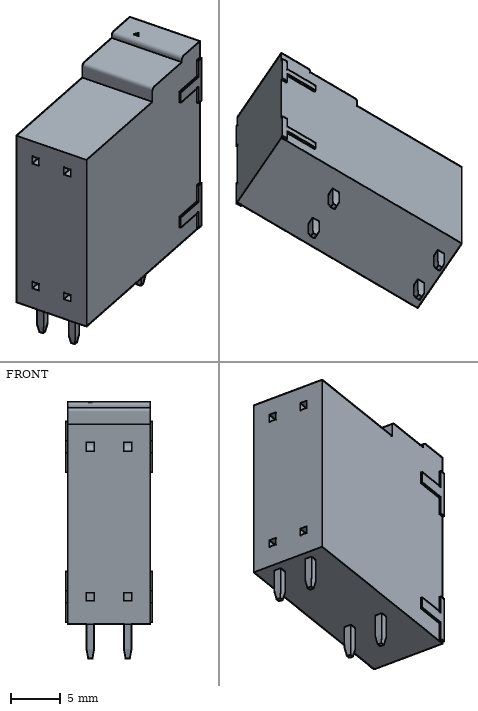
import cadquery as cq

TOTAL_WIDTH = 8.85
DEPTH = 21.8
TOTAL_HEIGHT = 26.2
PIN_LENGTH = 3.5
BODY_HEIGHT = TOTAL_HEIGHT - PIN_LENGTH
FRONT_Y = -DEPTH

RIDGE_DEPTH = 3.5
RIDGE_STEP = 0.62
RIDGE_FILLET = 0.42
SHELF_DEPTH = 9.15
SHELF_HEIGHT = BODY_HEIGHT - RIDGE_STEP
SHELF_FILLET = 0.4
MAIN_HEIGHT = 20.4

RAIL_THICKNESS = 0.2
BODY_WIDTH = TOTAL_WIDTH - 2 * RAIL_THICKNESS
RAIL_HEAD_HEIGHT = 5.2
RAIL_HEAD_DEPTH = 0.6
RAIL_STEM_HEIGHT = 1.25
RAIL_DEPTH = 4.0

COLUMN_PITCH = 3.81
COLUMNS = (-COLUMN_PITCH / 2, COLUMN_PITCH / 2)
ROW_PITCH = 15.3
LOWER_ROW_Z = 2.8
UPPER_ROW_Z = LOWER_ROW_Z + ROW_PITCH

PIN_SIZE = 0.8
PIN_TIP_SIZE = 0.45
PIN_TIP_LENGTH = 0.95
PIN_ROW_PITCH = 12.7
FRONT_PIN_SETBACK = 1.3
FRONT_PIN_Y = FRONT_Y + FRONT_PIN_SETBACK
BACK_PIN_Y = FRONT_PIN_Y + PIN_ROW_PITCH

SOCKET_WIDTH = 0.8
LOWER_SOCKET_HEIGHT = 0.8
UPPER_SOCKET_HEIGHT = 0.88
UPPER_SOCKET_FILLET = 0.78

MARKER_X = -1.9
MARKER_TIP_Y = -1.98
MARKER_WIDTH = 0.55
MARKER_LENGTH = 0.5
MARKER_ENGRAVING = 0.1


def block(x_range, y_range, z_range):
    """Box given by its limits along each axis."""
    (x0, x1), (y0, y1), (z0, z1) = x_range, y_range, z_range
    return cq.Workplane("XY").box(x1 - x0, y1 - y0, z1 - z0, centered=False).translate((x0, y0, z0))


def housing():
    """Stepped side profile with rounded step edges, extruded over the body width."""
    return (
        cq.Workplane("YZ")
        .moveTo(0, 0)
        .lineTo(0, BODY_HEIGHT)
        .lineTo(-RIDGE_DEPTH + RIDGE_FILLET, BODY_HEIGHT)
        .radiusArc((-RIDGE_DEPTH, BODY_HEIGHT - RIDGE_FILLET), -RIDGE_FILLET)
        .lineTo(-RIDGE_DEPTH, SHELF_HEIGHT)
        .lineTo(-SHELF_DEPTH + SHELF_FILLET, SHELF_HEIGHT)
        .radiusArc((-SHELF_DEPTH, SHELF_HEIGHT - SHELF_FILLET), -SHELF_FILLET)
        .lineTo(-SHELF_DEPTH, MAIN_HEIGHT)
        .lineTo(FRONT_Y, MAIN_HEIGHT)
        .lineTo(FRONT_Y, 0)
        .close()
        .extrude(BODY_WIDTH / 2, both=True)
    )


def rails(center_z):
    """Pair of T-shaped rails, one on each side, spanning the whole part width."""
    x_range = (-TOTAL_WIDTH / 2, TOTAL_WIDTH / 2)
    head_half = RAIL_HEAD_HEIGHT / 2
    stem_half = RAIL_STEM_HEIGHT / 2
    head = block(x_range, (-RAIL_HEAD_DEPTH, 0), (center_z - head_half, center_z + head_half))
    stem = block(x_range, (-RAIL_DEPTH, 0), (center_z - stem_half, center_z + stem_half))
    return head.union(stem)


def pin(x, y):
    """Square pin hanging from the underside, tapering to a blunt tip."""
    tip_z = -PIN_LENGTH
    shoulder_z = tip_z + PIN_TIP_LENGTH
    shank = cq.Workplane("XY").rect(PIN_SIZE, PIN_SIZE).extrude(shoulder_z)
    tip = (
        cq.Workplane("XY", origin=(0, 0, tip_z))
        .rect(PIN_TIP_SIZE, PIN_TIP_SIZE)
        .workplane(offset=PIN_TIP_LENGTH)
        .rect(PIN_SIZE, PIN_SIZE)
        .loft()
    )
    return shank.union(tip).translate((x, y, 0))


def socket(x, center_z, height, pin_y):
    """Rectangular cavity from the front face back to the front side of a pin."""
    x_range = (x - SOCKET_WIDTH / 2, x + SOCKET_WIDTH / 2)
    z_range = (center_z - height / 2, center_z + height / 2)
    return block(x_range, (FRONT_Y, pin_y - PIN_SIZE / 2), z_range)


def marker():
    """Triangle pointing to the back, sunk into the top of the ridge."""
    base_y = MARKER_TIP_Y - MARKER_LENGTH
    return (
        cq.Workplane("XY", origin=(MARKER_X, 0, BODY_HEIGHT))
        .moveTo(0, MARKER_TIP_Y)
        .lineTo(-MARKER_WIDTH / 2, base_y)
        .lineTo(MARKER_WIDTH / 2, base_y)
        .close()
        .extrude(-MARKER_ENGRAVING)
    )


result = housing()
for row_z in (LOWER_ROW_Z, UPPER_ROW_Z):
    result = result.union(rails(row_z))

for column_x in COLUMNS:
    for pin_y in (FRONT_PIN_Y, BACK_PIN_Y):
        result = result.union(pin(column_x, pin_y))
    lower_socket = socket(column_x, LOWER_ROW_Z, LOWER_SOCKET_HEIGHT, FRONT_PIN_Y)
    upper_socket = socket(column_x, UPPER_ROW_Z, UPPER_SOCKET_HEIGHT, BACK_PIN_Y)
    upper_socket = upper_socket.edges(">Y and <Z").fillet(UPPER_SOCKET_FILLET)
    result = result.cut(lower_socket).cut(upper_socket)

result = result.cut(marker())